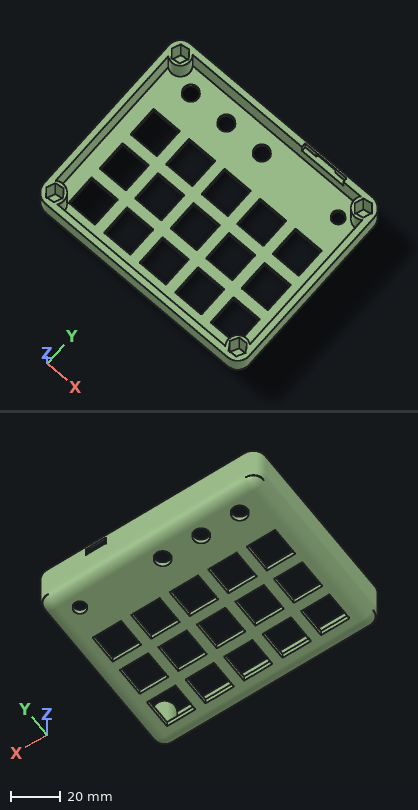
import cadquery as cq

LENGTH = 110.2
WIDTH = 89.2
HEIGHT = 20.0
WALL = 3.0
FLOOR = 3.0
EDGE_RADIUS = 6.3

POST_INSET = 6.0
POST_DIAMETER = 10.0
HEX_ACROSS_CORNERS = 8.0
HEX_TURNS = {
    (-1, 1): 8,
    (1, 1): 10,
    (-1, -1): 7,
    (1, -1): 3,
}
POST_X = LENGTH / 2 - POST_INSET
POST_Y = WIDTH / 2 - POST_INSET

KEY_SIZE = 14.0
KEY_PITCH = 19.1
KEY_COLUMNS = 5
KEY_ROWS = 3
KEY_CENTER_Y = -8.5

HOLE_ROW_Y = 32.5
KNOB_HOLE_DIAMETER = 7.3
KNOB_COLUMNS = (-2, -1, 0)
JACK_HOLE_DIAMETER = 6.0
JACK_HOLE_X = 41.0

CONNECTOR_X = 24.7
RECESS_WIDTH = 22.2
RECESS_HEIGHT = 6.0
RECESS_SKIN = 1.0
WINDOW_WIDTH = 10.0
WINDOW_HEIGHT = 4.0


def make_outer_body():
    """Rounded block with a ball-cornered bottom rim, flat top."""
    rounded = (
        cq.Workplane("XY")
        .box(LENGTH, WIDTH, 2 * HEIGHT, centered=(True, True, False))
        .edges("|Z or <Z")
        .fillet(EDGE_RADIUS)
    )
    envelope = cq.Workplane("XY").box(LENGTH, WIDTH, HEIGHT, centered=(True, True, False))
    return rounded.intersect(envelope)


def make_cavity():
    """Square-cornered inside space above the floor."""
    return (
        cq.Workplane("XY", origin=(0, 0, FLOOR))
        .box(LENGTH - 2 * WALL, WIDTH - 2 * WALL, HEIGHT, centered=(True, True, False))
    )


def make_posts():
    return (
        cq.Workplane("XY", origin=(0, 0, FLOOR))
        .rarray(2 * POST_X, 2 * POST_Y, 2, 2)
        .circle(POST_DIAMETER / 2)
        .extrude(HEIGHT - FLOOR)
    )


def make_hex_sockets():
    """Hexagonal blind sockets down the posts to floor level."""
    sockets = cq.Workplane("XY")
    for (side_x, side_y), turn in HEX_TURNS.items():
        socket = (
            cq.Workplane("XY")
            .polygon(6, HEX_ACROSS_CORNERS)
            .extrude(HEIGHT - FLOOR)
            .rotate((0, 0, 0), (0, 0, 1), turn)
            .translate((side_x * POST_X, side_y * POST_Y, FLOOR))
        )
        sockets = sockets.add(socket)
    return sockets.combine()


def make_key_openings():
    return (
        cq.Workplane("XY", origin=(0, KEY_CENTER_Y, 0))
        .rarray(KEY_PITCH, KEY_PITCH, KEY_COLUMNS, KEY_ROWS)
        .rect(KEY_SIZE, KEY_SIZE)
        .extrude(FLOOR)
    )


def make_round_holes():
    row = cq.Workplane("XY", origin=(0, HOLE_ROW_Y, 0))
    knob_centers = [(column * KEY_PITCH, 0) for column in KNOB_COLUMNS]
    knob_holes = row.pushPoints(knob_centers).circle(KNOB_HOLE_DIAMETER / 2).extrude(FLOOR)
    jack_hole = row.center(JACK_HOLE_X, 0).circle(JACK_HOLE_DIAMETER / 2).extrude(FLOOR)
    return knob_holes.union(jack_hole)


def make_connector_opening():
    """Recess open to the top and the inside, and the window on the recess floor."""
    inner_face_y = WIDTH / 2 - WALL
    inner_face = cq.Workplane("XY", origin=(CONNECTOR_X, inner_face_y, HEIGHT - RECESS_HEIGHT))
    recess = inner_face.box(
        RECESS_WIDTH, WALL - RECESS_SKIN, RECESS_HEIGHT, centered=(True, False, False)
    )
    window = inner_face.box(WINDOW_WIDTH, WALL, WINDOW_HEIGHT, centered=(True, False, False))
    return recess.union(window)


result = (
    make_outer_body()
    .cut(make_cavity())
    .union(make_posts())
    .cut(make_hex_sockets())
    .cut(make_key_openings())
    .cut(make_round_holes())
    .cut(make_connector_opening())
)